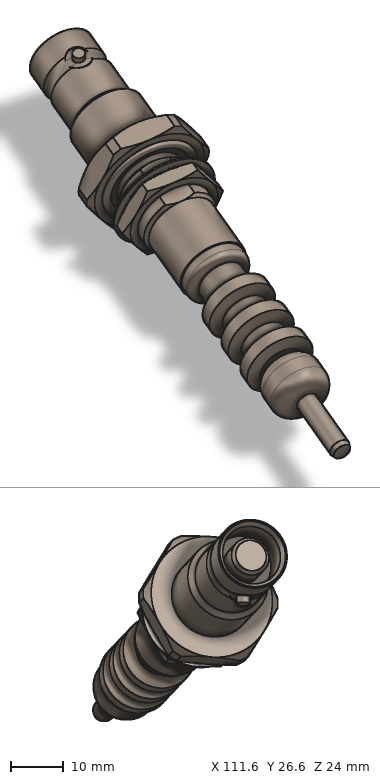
import cadquery as cq
import math


mating_radius = 6.8
shell_radius = 7.9
shell_taper_start = 17.1
shell_taper_end = 18.2
bore_radius = 5.7
bore_chamfer = 0.8
bore_depth = 7.8
core_radius = 3.7
core_chamfer = 0.7
core_front = 1.1

lug_x = 7.0
lug_radius = 1.2
lug_recess_radius = 2.6
groove_half_width = 1.5
groove_depth = 0.3
lug_recess_depth = 0.2

flange_front = 30.3
flange_rear = 35.2
flange_half_flats = 12.0
flange_corner_radius = 13.3
flange_front_chamfer = 1.0
flange_rear_chamfer = 0.7

thread_radius = 7.8
thread_start = 36.6
thread_end = 47.9
thread_chamfer = 0.7
body_radius = 7.1
body_end = 60.4

collar_radius = 6.8
collar_end = 63.5
collar_fillet = 1.5
stem_radius = 4.8
rib_count = 3
rib_start = 68.3
rib_pitch = 7.5
rib_width = 4.6
rib_crest_start = 0.9
rib_crest_end = 3.7

tip_start = 88.3
tip_end = 97.6
tip_radius = 6.3
tip_fillet = 3.1
cable_radius = 2.1
cable_end = 111.6
cable_chamfer_length = 1.0
cable_chamfer_depth = 0.3

ring_section_radius = 0.9
ring_centre_radius = 9.4

washer_front = 40.8
washer_thickness = 0.5
washer_radius = 10.9
slot_count = 18
slot_width = 1.3
slot_root_radius = 9.2

nut_front = 41.6
nut_rear = 44.9
nut_half_flats = 9.5
nut_chamfer = 0.6


def revolve_profile(points):
    """Turn a closed (x, radius) outline around the X axis."""
    outline = cq.Workplane("XY").polyline(points).close()
    return outline.revolve(360, (0, 0, 0), (1, 0, 0))


def cylinder(start, end, radius):
    """Solid round bar along X."""
    return cq.Workplane("YZ", origin=(start, 0, 0)).circle(radius).extrude(end - start)


def hexagon(start, end, half_flats, corner_radius, front_chamfer, rear_chamfer):
    """Hexagonal prism with flats on +Z and -Z, its corners turned down and chamfered."""
    corner_distance = half_flats / math.cos(math.pi / 6)
    prism = (
        cq.Workplane("YZ", origin=(start, 0, 0))
        .polygon(6, 2 * corner_distance)
        .extrude(end - start)
    )
    envelope = revolve_profile([
        (start, 0),
        (start, half_flats),
        (start + front_chamfer, corner_radius),
        (end - rear_chamfer, corner_radius),
        (end, half_flats),
        (end, 0),
    ])
    return prism.intersect(envelope)


def sealing_ring():
    """O-ring centred on the plane of the flange's rear face."""
    section = (
        cq.Workplane("XY", origin=(flange_rear, 0, 0))
        .center(0, ring_centre_radius)
        .circle(ring_section_radius)
    )
    return section.revolve(360, (0, -ring_centre_radius, 0), (1, -ring_centre_radius, 0))


def mating_end():
    """Front shell with its open bore, central core and two bayonet lugs."""
    shell = revolve_profile([
        (0, 0),
        (0, mating_radius),
        (shell_taper_start, mating_radius),
        (shell_taper_end, shell_radius),
        (flange_front, shell_radius),
        (flange_front, 0),
    ])
    bore = revolve_profile([
        (0, 0),
        (0, bore_radius + bore_chamfer),
        (bore_chamfer, bore_radius),
        (bore_depth, bore_radius),
        (bore_depth, 0),
    ])
    core = cylinder(core_front, bore_depth, core_radius).faces("<X").chamfer(core_chamfer)

    groove_floor_radius = mating_radius - groove_depth
    groove = (
        cq.Workplane("XY")
        .moveTo(lug_x - groove_half_width, mating_radius)
        .threePointArc((lug_x, groove_floor_radius), (lug_x + groove_half_width, mating_radius))
        .close()
        .revolve(360, (0, 0, 0), (1, 0, 0))
    )
    lug_axis = cq.Workplane("XY", origin=(lug_x, 0, 0))
    recess = (
        lug_axis.circle(lug_recess_radius).extrude(mating_radius, both=True)
        .cut(cylinder(0, shell_taper_start, mating_radius - lug_recess_depth))
    )
    lug_foot_radius = (bore_radius + groove_floor_radius) / 2
    lugs = (
        lug_axis.circle(lug_radius).extrude(shell_radius, both=True)
        .cut(cylinder(0, shell_taper_start, lug_foot_radius))
    )
    return shell.cut(groove).cut(recess).cut(bore).union(core).union(lugs)


def flange():
    """Hexagonal flange with the seat of the sealing ring in its rear face."""
    body = hexagon(
        flange_front, flange_rear, flange_half_flats, flange_corner_radius,
        flange_front_chamfer, flange_rear_chamfer,
    )
    return body.cut(sealing_ring())


def threaded_body():
    """Plain body carrying a raised thread that is cut flat on top."""
    thread = revolve_profile([
        (thread_start, 0),
        (thread_start, body_radius),
        (thread_start + thread_chamfer, thread_radius),
        (thread_end - thread_chamfer, thread_radius),
        (thread_end, body_radius),
        (thread_end, 0),
    ])
    thread_length = thread_end - thread_start
    above_flat = cq.Workplane("XY", origin=(thread_start, 0, body_radius)).box(
        thread_length, 2 * thread_radius, thread_radius, centered=(False, True, False)
    )
    body = cylinder(flange_rear, body_end, body_radius)
    collar = cylinder(body_end, collar_end, collar_radius).faces(">X").edges().fillet(collar_fillet)
    return body.union(thread.cut(above_flat)).union(collar)


def rib(start):
    """One boot rib: a flat crest between two steep cones."""
    return revolve_profile([
        (start, 0),
        (start, stem_radius),
        (start + rib_crest_start, body_radius),
        (start + rib_crest_end, body_radius),
        (start + rib_width, stem_radius),
        (start + rib_width, 0),
    ])


def boot_and_cable():
    """Boot stem with its ribs, the rounded tip and the cable."""
    last_rib_start = rib_start + (rib_count - 1) * rib_pitch
    boot = cylinder(collar_end, last_rib_start, stem_radius)
    for index in range(rib_count):
        boot = boot.union(rib(rib_start + index * rib_pitch))
    tip = cylinder(tip_start, tip_end, tip_radius).faces("<X or >X").edges().fillet(tip_fillet)
    cable = revolve_profile([
        (last_rib_start, 0),
        (last_rib_start, cable_radius),
        (cable_end - cable_chamfer_length, cable_radius),
        (cable_end, cable_radius - cable_chamfer_depth),
        (cable_end, 0),
    ])
    return boot.union(tip).union(cable)


def lock_washer():
    """Thin washer with internal teeth left between radial slots."""
    disc = cylinder(washer_front, washer_front + washer_thickness, washer_radius)
    hole = cylinder(washer_front, washer_front + washer_thickness, thread_radius)
    slot_pitch = 360 / slot_count
    slot = cq.Workplane("XY", origin=(washer_front, 0, 0)).box(
        washer_thickness, slot_width, slot_root_radius, centered=(False, True, False)
    )
    washer = disc.cut(hole)
    for index in range(slot_count):
        angle = (index + 0.5) * slot_pitch
        washer = washer.cut(slot.rotate((0, 0, 0), (1, 0, 0), angle))
    return washer


def hex_nut():
    """Plain hexagonal nut bored to the thread diameter."""
    corner_radius = nut_half_flats / math.cos(math.pi / 6)
    body = hexagon(nut_front, nut_rear, nut_half_flats, corner_radius, nut_chamfer, nut_chamfer)
    return body.cut(cylinder(nut_front, nut_rear, thread_radius))


housing = mating_end().union(flange()).union(threaded_body()).union(boot_and_cable())
seal = sealing_ring()
washer = lock_washer()
nut = hex_nut()

result = cq.Compound.makeCompound([housing.val(), seal.val(), washer.val(), nut.val()])